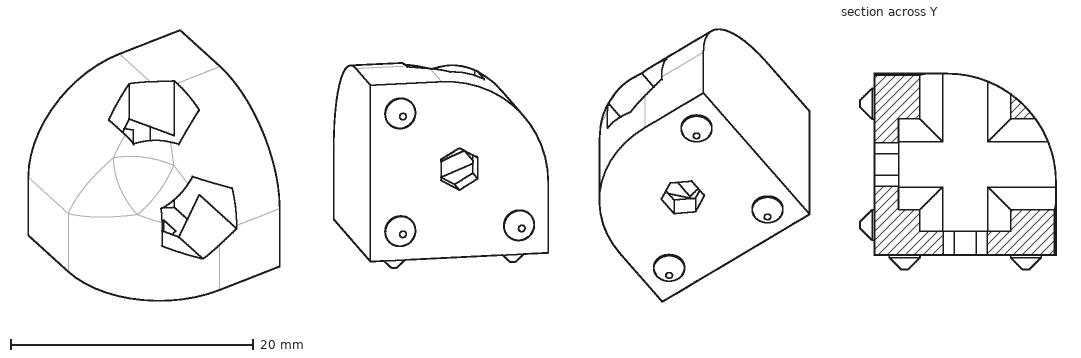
import cadquery as cq
import math

SIDE = 15.0
ROUND_RADIUS = 9.0
ARC_OFFSET = SIDE - ROUND_RADIUS
ARC_CENTER = (ARC_OFFSET, ROUND_RADIUS, ARC_OFFSET)

BLEND_ANGLE = math.radians(23.5)
CREST_SIDE = 4.75
CREST_TOP = 7.01
CAP_CENTER = 5.75

OVERALL_LENGTH = 16.2
PIN_LENGTH = OVERALL_LENGTH - SIDE
PIN_DIAMETER = 2.55
PIN_TIP_DIAMETER = 0.55
PIN_BASE_LENGTH = 0.2
PIN_INSET = 2.5

HOLE_CORNERS = 3.56
POCKET_CORNERS = 7.48
POCKET_FLOOR = 2.0

near = PIN_INSET
far = SIDE - PIN_INSET
middle = SIDE / 2


def rounded_prism(edge_axis, first_side, second_side):
    """Cube rounded on its edge along one axis, picked by the two sides it lies on."""
    cube = cq.Workplane("XY").box(SIDE, SIDE, SIDE, centered=False)
    return cube.edges(f"|{edge_axis}").edges(first_side).edges(second_side).fillet(ROUND_RADIUS)


def rounded_cube():
    """Common volume of the three rounded prisms."""
    prism_x = rounded_prism("X", "<Y", ">Z")
    prism_y = rounded_prism("Y", ">X", ">Z")
    prism_z = rounded_prism("Z", ">X", "<Y")
    return prism_x.intersect(prism_y).intersect(prism_z)


def third_turns(shape):
    """The shape and its two copies turned about the corner's body diagonal."""
    return [shape.rotate(cq.Vector(0, 0, 0), cq.Vector(1, 1, 1), angle) for angle in (0, 120, 240)]


def cylinder_wedge():
    """Quarter cylinder along X, cut off by the two slanted planes where the blend starts."""
    wedge_side = ROUND_RADIUS * math.tan(BLEND_ANGLE)
    quarter = (
        cq.Workplane("YZ")
        .lineTo(ROUND_RADIUS, 0)
        .radiusArc((0, ROUND_RADIUS), -ROUND_RADIUS)
        .close()
        .extrude(wedge_side)
    )
    slope = [(0, 0), (0, ROUND_RADIUS), (wedge_side, ROUND_RADIUS)]
    below_z = cq.Workplane("XZ").polyline(slope).close().extrude(-ROUND_RADIUS)
    below_y = cq.Workplane("XY").polyline(slope).close().extrude(ROUND_RADIUS)
    return quarter.intersect(below_z).intersect(below_y).val()


def blend_core():
    """Solid under the four blend patches, with its apex at the centre of the rounds."""
    apex = cq.Vector(0, 0, 0)
    high = ROUND_RADIUS / math.sqrt(2)
    low = high * math.tan(BLEND_ANGLE)
    node_x = cq.Vector(low, high, high)
    node_z = cq.Vector(high, high, low)
    pole = cq.Vector(0, ROUND_RADIUS, 0)

    def pole_arc(long_axis, normal):
        return cq.Edge.makeEllipse(
            ROUND_RADIUS / math.cos(BLEND_ANGLE), ROUND_RADIUS, apex, normal, long_axis, 45, 90
        )

    sine = math.sin(BLEND_ANGLE)
    cosine = math.cos(BLEND_ANGLE)
    arc_x = pole_arc(cq.Vector(sine, 0, cosine), cq.Vector(-cosine, 0, sine))
    arc_z = pole_arc(cq.Vector(cosine, 0, sine), cq.Vector(-sine, 0, cosine))
    crest = cq.Vector(CREST_SIDE, CREST_TOP, CREST_SIDE)
    crest_arc = cq.Edge.makeThreePointArc(node_x, crest, node_z)

    faces = third_turns(cq.Face.makeNSidedSurface([arc_x, crest_arc, arc_z], []))
    for arc, node in ((arc_x, node_x), (arc_z, node_z)):
        node_spoke = cq.Edge.makeLine(apex, node)
        pole_spoke = cq.Edge.makeLine(pole, apex)
        outline = cq.Wire.assembleEdges([node_spoke, arc, pole_spoke])
        faces += third_turns(cq.Face.makeFromWires(outline))
    cap_center = cq.Vector(CAP_CENTER, CAP_CENTER, CAP_CENTER)
    faces.append(cq.Face.makeNSidedSurface(third_turns(crest_arc), [cap_center]))
    return cq.Solid.makeSolid(cq.Shell.makeShell(faces)).fix()


def blend_corner(body):
    """Replace the sharp meeting of the three rounds with a smooth blend."""
    corner = cq.Workplane("XY").box(ROUND_RADIUS, ROUND_RADIUS, ROUND_RADIUS, centered=False)
    corner = corner.translate((ARC_OFFSET, 0, ARC_OFFSET))
    blend = cq.Workplane(blend_core())
    for wedge in third_turns(cylinder_wedge()):
        blend = blend.union(cq.Workplane(wedge))
    return body.cut(corner).union(blend.mirror("XZ").translate(ARC_CENTER))


def pin():
    """Pin pointing along -Z from the origin."""
    return (
        cq.Workplane("XZ")
        .lineTo(PIN_DIAMETER / 2, 0)
        .lineTo(PIN_DIAMETER / 2, -PIN_BASE_LENGTH)
        .lineTo(PIN_TIP_DIAMETER / 2, -PIN_LENGTH)
        .lineTo(0, -PIN_LENGTH)
        .close()
        .revolve(360, (0, 0), (0, 1))
    )


def hex_prism(corners, start):
    """Vertical hexagonal prism at the cube's centre, from height start to the top."""
    return (
        cq.Workplane("XY", origin=(middle, middle, start))
        .polygon(6, corners)
        .extrude(SIDE - start)
    )


def turn_to_x(shape):
    """Turn a vertical feature to the X axis about the cube's centre."""
    return shape.rotate((middle, 0, middle), (middle, 1, middle), 90)


body = blend_corner(rounded_cube())

nut_hole = hex_prism(HOLE_CORNERS, 0).union(hex_prism(POCKET_CORNERS, POCKET_FLOOR))
body = body.cut(nut_hole).cut(turn_to_x(nut_hole))

for x, y in ((near, near), (near, far), (far, far)):
    bottom_pin = pin().translate((x, y, 0))
    side_pin = turn_to_x(pin().translate((SIDE - x, y, 0)))
    body = body.union(bottom_pin).union(side_pin)

result = body